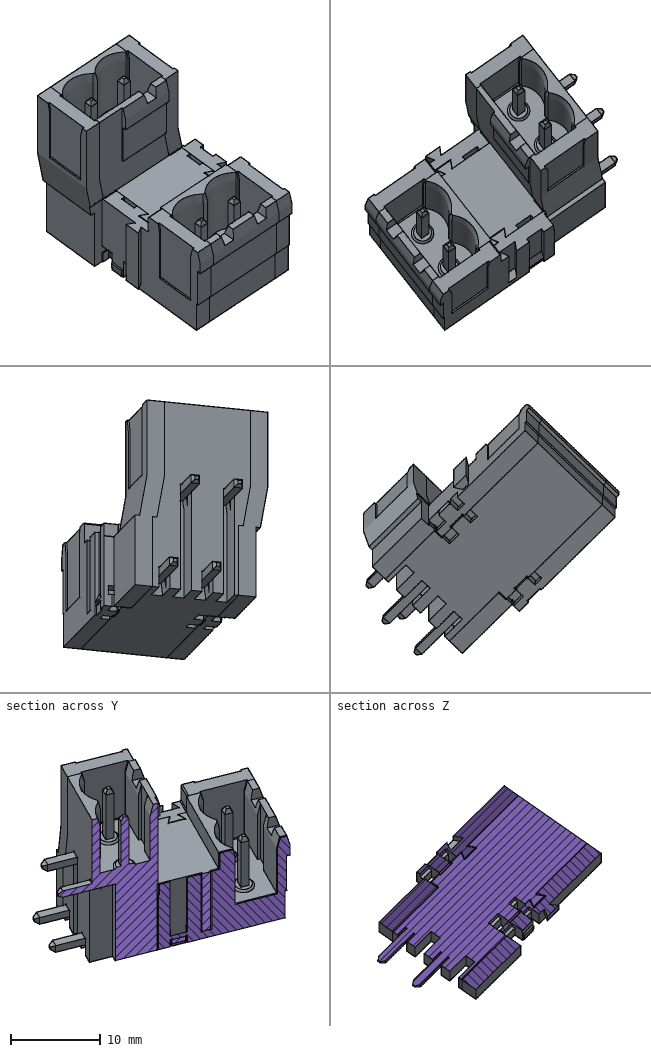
import cadquery as cq
import math


pitch = 5.07
core_width = 2 * pitch
cheek_width = 2.03
header_rise = 9.8
header_advance = 15.23
low_height = 12.22
tall_height = low_height + header_rise
deck_height = header_rise

tall_depth = 7.95
base_depth = 7.82
tall_shift = -pitch / 2
base_shift = -1.15
lean_shift = -1.67
base_height = 8.27
lean_height = 13.15
lower_relief = 0.1
upper_relief = 0.22
cheek_setback = 0.1
cheek_foot_height = 0.2
cheek_edge_chamfer = 0.17

latch_strip = 8.15
latch_tip = 8.57
latch_tip_drop = 1.5
latch_hook_drop = 3.0
latch_strip_drop = 8.18
tall_latch_end = -1.61

cavity_depth = 8.27
cavity_rear = 1.95
cavity_front = 6.95
rear_flare = 0.22
rear_flare_drop = 1.1
front_flare = 0.35
front_flare_drop = 1.6
scallop_radius = 2.98
scallop_flare = 0.28
cheek_recess = 0.2
key_groove_width = 1.9
notch_floor_width = 1.35
notch_rim_width = 1.8
notch_drop = 1.25

pin_size = 1.0
pin_tip_size = 0.4
pin_tip_length = 0.53
pin_x = 3.95
pin_drop = 0.8
solder_length = 4.05
upper_solder_z = 11.97
lower_solder_z = 1.95
collar_radius = 1.25
collar_height = 0.25
collar_taper = 45

slot_width = 1.28
slot_mouth_depth = 1.4
slot_guide_depth = 1.4
guide_flare_height = 0.97

dovetail_x = 13.73
dovetail_foot = 1.09
tab_neck, tab_width, tab_reach = 0.92, 2.0, 0.92
socket_neck, socket_width, socket_depth = 1.09, 2.12, 1.0

clip_gap_height = 2.42
clip_gap_depth = 1.1
clip_inner_depth = 1.53
clip_ledge = 1.4
gap_start, tongue_start, tongue_end, gap_end = 7.95, 9.47, 11.33, 12.4
hook_start, hook_end = 9.58, 11.22
hook_reach = 0.22
hook_nose_height = 0.75
hook_height = 1.09
hook_foot = 0.08
catch_start, catch_end = 9.38, 11.41
catch_depth = 0.47
catch_ramp_foot = 1.35

overcut = 0.28

tall_origin = (0, tall_shift, tall_height)
low_origin = (header_advance, 0, low_height)
poles = (-pitch / 2, pitch / 2)


def box(x_range, y_range, z_range):
    """Box between pairs of X, Y and Z limits."""
    size = [high - low for low, high in (x_range, y_range, z_range)]
    corner = (x_range[0], y_range[0], z_range[0])
    return cq.Workplane("XY").box(*size, centered=False).translate(corner)


def side_prism(points, y_low, y_high):
    """Prism with an XZ outline, running from y_low to y_high."""
    return cq.Workplane("XZ", origin=(0, y_low, 0)).polyline(points).close().extrude(y_low - y_high)


def cross_prism(points, x_low, x_high):
    """Prism with a YZ outline, running from x_low to x_high."""
    return cq.Workplane("YZ", origin=(x_low, 0, 0)).polyline(points).close().extrude(x_high - x_low)


def latch_outline():
    """Front edge of a header with its rim at Z = 0, from the strip's foot up to the rim."""
    return [
        (tall_depth, -latch_strip_drop),
        (latch_strip, -latch_strip_drop),
        (latch_strip, -latch_hook_drop),
        (latch_tip, -latch_hook_drop),
        (latch_tip, -latch_tip_drop),
        (latch_strip, 0),
    ]


def tall_block(y_low, y_high):
    """Upright block that leans sideways towards the tall header."""
    outline = [
        (y_low + base_shift, 0),
        (y_high + base_shift, 0),
        (y_high + base_shift, base_height),
        (y_high + lean_shift, base_height),
        (y_high + tall_shift, lean_height),
        (y_high + tall_shift, tall_height),
        (y_low + tall_shift, tall_height),
        (y_low + tall_shift, lean_height),
        (y_low + lean_shift, base_height),
        (y_low + base_shift, base_height),
    ]
    block = cross_prism(outline, 0, tall_depth)
    y_span = (y_low + tall_shift, y_high)
    return block.cut(box((base_depth, tall_depth), y_span, (0, deck_height)))


def low_block(y_low, y_high):
    """Deck and low header in one outline, with the latch along the front."""
    front = [(header_advance + x, low_height + z) for x, z in latch_outline()]
    outline = [
        (base_depth, 0),
        (header_advance + tall_depth, 0),
        *front,
        (header_advance, low_height),
        (header_advance, deck_height),
        (base_depth, deck_height),
    ]
    block = side_prism(outline, y_low, y_high)
    lower_x = (base_depth, base_depth + lower_relief)
    upper_x = (base_depth, base_depth + upper_relief)
    block = block.cut(box(lower_x, (y_high + base_shift, y_high), (0, base_height)))
    return block.cut(box(upper_x, (y_high + lean_shift, y_high), (base_height, deck_height)))


def dovetail(y_face, neck, width, reach):
    """Upright dovetail growing from a side face towards -Y."""
    outline = [
        (dovetail_x - neck / 2, y_face),
        (dovetail_x + neck / 2, y_face),
        (dovetail_x + width / 2, y_face - reach),
        (dovetail_x - width / 2, y_face - reach),
    ]
    base = cq.Workplane("XY", origin=(0, 0, dovetail_foot))
    return base.polyline(outline).close().extrude(deck_height - dovetail_foot)


def clip_gaps(y_face):
    """Gaps on both sides of the snap tongue, with a passage to the rear face."""
    face_depth = (y_face, y_face + clip_gap_depth)
    inner_depth = (y_face, y_face + clip_inner_depth)
    inner_height = (clip_ledge, clip_gap_height)
    gaps = box((base_depth, gap_start), inner_depth, inner_height)
    for limits in ((gap_start, tongue_start), (tongue_end, gap_end)):
        gaps = gaps.union(box(limits, face_depth, (0, clip_gap_height)))
        gaps = gaps.union(box(limits, inner_depth, inner_height))
    return gaps


def clip_hook(y_face):
    """Nose at the foot of the snap tongue."""
    outline = [
        (y_face, 0),
        (y_face, hook_height),
        (y_face - hook_reach, hook_height),
        (y_face - hook_reach, hook_nose_height),
        (y_face - hook_foot, 0),
    ]
    return cross_prism(outline, hook_start, hook_end)


def clip_catch(y_face):
    """Groove with a ramp for the neighbour's hook, and the pocket that holds the hook."""
    outline = [
        (y_face, catch_ramp_foot),
        (y_face, deck_height),
        (y_face - catch_depth, deck_height),
        (y_face - catch_depth, clip_gap_height),
    ]
    groove = cross_prism(outline, catch_start, catch_end)
    pocket = box((catch_start, catch_end), (y_face - hook_reach, y_face), (0, hook_height))
    return groove.union(pocket)


def module(y_low, y_high):
    """Solid slice of the connector with the joints on both sides."""
    body = tall_block(y_low, y_high).union(low_block(y_low, y_high))
    body = body.cut(dovetail(y_high, socket_neck, socket_width, socket_depth))
    body = body.cut(clip_catch(y_high)).cut(clip_gaps(y_low))
    body = body.union(dovetail(y_low, tab_neck, tab_width, tab_reach))
    return body.union(clip_hook(y_low))


def cavity_prism(y_low, y_high):
    """Cavity outline with flared rear and front walls."""
    outline = [
        (cavity_rear, -cavity_depth),
        (cavity_front, -cavity_depth),
        (cavity_front, -front_flare_drop),
        (cavity_front + front_flare, 0),
        (cavity_rear - rear_flare, 0),
        (cavity_rear, -rear_flare_drop),
    ]
    return side_prism(outline, y_low, y_high)


def cavity():
    """Core cavity: flared box, scallops round the pins and a key groove in the front wall."""
    hollow = cavity_prism(-core_width / 2, core_width / 2)
    flare_angle = math.degrees(math.atan(scallop_flare / rear_flare_drop))
    for y in poles:
        floor = cq.Workplane("XY", origin=(pin_x, y, -cavity_depth))
        hollow = hollow.union(floor.circle(scallop_radius).extrude(cavity_depth))
        lead_in = cq.Workplane("XY", origin=(pin_x, y, -rear_flare_drop))
        hollow = hollow.union(lead_in.circle(scallop_radius).extrude(rear_flare_drop, taper=-flare_angle))
    key_x = (cavity_front, cavity_front + front_flare)
    half_key = key_groove_width / 2
    hollow = hollow.union(box(key_x, (-half_key, half_key), (-cavity_depth, 0)))
    inside = box((0, tall_depth), (-core_width / 2, core_width / 2), (-cavity_depth, 0))
    return hollow.intersect(inside)


def latch_notch(y):
    """Flared notch through the rim of the front wall."""
    outline = [
        (y - notch_floor_width / 2, -notch_drop),
        (y + notch_floor_width / 2, -notch_drop),
        (y + notch_rim_width / 2, 0),
        (y - notch_rim_width / 2, 0),
    ]
    return cross_prism(outline, cavity_front, latch_tip + overcut)


def pin(length):
    """Square pin along Z with a blunt pyramid tip at the top end."""
    shaft_length = length - pin_tip_length
    tip_angle = math.degrees(math.atan((pin_size - pin_tip_size) / 2 / pin_tip_length))
    shaft = cq.Workplane("XY").rect(pin_size, pin_size).extrude(shaft_length)
    return shaft.faces(">Z").workplane().rect(pin_size, pin_size).extrude(pin_tip_length, taper=tip_angle)


def header_contact(y):
    """Pin standing on a tapered collar in the cavity floor."""
    floor = (pin_x, y, -cavity_depth)
    collar = cq.Workplane("XY").circle(collar_radius).extrude(collar_height, taper=collar_taper)
    return collar.union(pin(cavity_depth - pin_drop)).translate(floor)


def rear_slot(y, solder_z):
    """Slot open to the underside: a wide mouth, then a guide that narrows to the pin."""
    top = solder_z + pin_size / 2
    pin_foot = solder_z - pin_size / 2
    half_slot = slot_width / 2
    half_pin = pin_size / 2
    mouth = box((0, slot_mouth_depth), (y - half_slot, y + half_slot), (0, top))
    guide_outline = [
        (y - half_slot, 0),
        (y + half_slot, 0),
        (y + half_slot, pin_foot - guide_flare_height),
        (y + half_pin, pin_foot),
        (y + half_pin, top),
        (y - half_pin, top),
        (y - half_pin, pin_foot),
        (y - half_slot, pin_foot - guide_flare_height),
    ]
    return mouth.union(cross_prism(guide_outline, slot_mouth_depth, slot_mouth_depth + slot_guide_depth))


def solder_pin(y, solder_z):
    """Pin from the end of its slot out through the rear face."""
    seat_x = slot_mouth_depth + slot_guide_depth
    return pin(seat_x + solder_length).rotate((0, 0, 0), (0, 1, 0), -90).translate((seat_x, y, solder_z))


def make_core():
    body = module(-core_width / 2, core_width / 2)
    latch_section = [*latch_outline(), (tall_depth, 0)]
    tall_latch = side_prism(latch_section, tall_latch_end, core_width / 2)
    body = body.union(tall_latch.translate(tall_origin))

    for origin, notched_poles in ((tall_origin, poles[1:]), (low_origin, poles)):
        body = body.cut(cavity().translate(origin))
        for y in notched_poles:
            body = body.cut(latch_notch(y).translate(origin))
        for y in poles:
            body = body.union(header_contact(y).translate(origin))

    for shift, solder_z in ((tall_shift, upper_solder_z), (0, lower_solder_z)):
        for y in poles:
            body = body.cut(rear_slot(y + shift, solder_z))
            body = body.union(solder_pin(y + shift, solder_z))
    return body


def make_cheek(y_low):
    y_high = y_low + cheek_width
    body = module(y_low, y_high)
    for origin in (tall_origin, low_origin):
        for recess_start in (y_low, y_high - cheek_recess):
            recess = cavity_prism(recess_start, recess_start + cheek_recess)
            body = body.cut(recess.translate(origin))
    face_x = header_advance + cheek_setback
    setback = [
        (header_advance, deck_height),
        (face_x, deck_height + cheek_foot_height),
        (face_x, low_height - cheek_edge_chamfer),
        (face_x + cheek_edge_chamfer, low_height),
        (header_advance, low_height),
    ]
    return body.cut(side_prism(setback, y_low, y_high))


core = make_core()
cheeks = [make_cheek(y_low) for y_low in (-core_width / 2 - cheek_width, core_width / 2)]

result = cq.Compound.makeCompound([core.val(), *[cheek.val() for cheek in cheeks]])